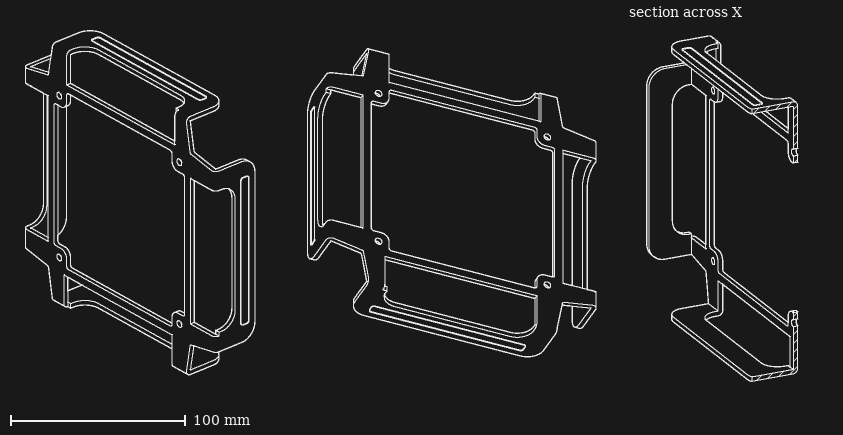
import cadquery as cq

outer_size = 168.0
depth = 30.0
sheet = 3.0
half_outer = outer_size / 2
bend_line = half_outer - sheet

frame_outer_half = 62.3
frame_inner_half = 57.1
notch_half = 62.2
notch_fillet = 1.0

pad_inner_half = 46.0
pad_radius = 5.0
pad_root_fillet = 1.5
hole_pitch_half = 52.5
hole_diameter = 4.0

handle_half = 58.8
handle_corner_radius = 10.0
handle_band = 15.0
opening_half = pad_inner_half
opening_radius = 10.0
wide_arm_inner = pad_inner_half
narrow_arm_inner = 48.5

groove_half_length = 47.9
groove_width = 5.9
groove_corner_radius = 1.5
groove_depth = 0.5

quarter_turns = (0, 90, 180, 270)


def box_between(x_range, y_range, z_range):
    """Return the box that spans the given ranges."""
    (x0, x1), (y0, y1), (z0, z1) = x_range, y_range, z_range
    return cq.Workplane("XY").box(x1 - x0, y1 - y0, z1 - z0, centered=False).translate((x0, y0, z0))


def around_square(half):
    """Return a plane at the front face with points at the corners of a square."""
    return cq.Workplane("XZ").rect(2 * half, 2 * half, forConstruction=True).vertices()


def edges_within(half):
    """Select edges lying inside a centered square, at any depth."""
    return cq.selectors.BoxSelector((-half, -depth, -half), (half, depth, half))


def make_window():
    """Square opening of the frame, less the four rounded corner pads."""
    pad_size = frame_inner_half - pad_inner_half
    pad_center = (frame_inner_half + pad_inner_half) / 2
    pads = around_square(pad_center).rect(pad_size, pad_size).extrude(-sheet)
    window = cq.Workplane("XZ").rect(2 * frame_inner_half, 2 * frame_inner_half).extrude(-sheet)
    window = window.cut(pads)
    window = window.edges("|Y").edges(edges_within(pad_center)).fillet(pad_radius)
    return window.edges("|Y").edges("<X or >X or <Z or >Z").fillet(pad_root_fillet)


def make_plate():
    """Flat plate with tapered arms, a central window and screw holes."""
    outline = []
    for sx, sz in ((-1, 1), (1, 1), (1, -1), (-1, -1)):
        corner = [
            (sx * handle_half, sz * half_outer),
            (sx * handle_half, sz * bend_line),
            (sx * notch_half, sz * notch_half),
            (sx * bend_line, sz * handle_half),
            (sx * half_outer, sz * handle_half),
        ]
        outline += corner if sx == sz else corner[::-1]
    plate = cq.Workplane("XZ").polyline(outline).close().extrude(-sheet)

    notch_zone = edges_within((notch_half + half_outer) / 2)
    plate = plate.edges("|Y").edges(notch_zone).fillet(notch_fillet)

    holes = around_square(hole_pitch_half).circle(hole_diameter / 2).extrude(-sheet)
    return plate.cut(make_window()).cut(holes)


def make_handle():
    """Top flange with rounded far corners, an arched opening and a groove."""
    handle = box_between((-handle_half, handle_half), (0, depth), (bend_line, half_outer))
    handle = handle.edges("|Z and >Y").fillet(handle_corner_radius)

    opening = box_between(
        (-opening_half, opening_half), (0, depth - handle_band), (bend_line, half_outer)
    )
    opening = opening.edges("|Z and >Y").fillet(opening_radius)

    groove_center = depth - handle_band / 2
    groove = box_between(
        (-groove_half_length, groove_half_length),
        (groove_center - groove_width / 2, groove_center + groove_width / 2),
        (half_outer - groove_depth, half_outer),
    )
    groove = groove.edges("|Z").fillet(groove_corner_radius)
    return handle.cut(opening).cut(groove)


def make_arm_gap():
    """Gap between the frame bar and the top bend, reaching further towards +X."""
    return box_between(
        (-wide_arm_inner, narrow_arm_inner), (0, sheet), (frame_outer_half, half_outer)
    )


def make_bend_waste():
    """Material outside the rounded outer corner of the top bend."""
    corner = box_between((-handle_half, handle_half), (0, sheet), (bend_line, half_outer))
    bend = (
        cq.Workplane("YZ", origin=(-handle_half, 0, 0))
        .center(sheet, bend_line)
        .circle(sheet)
        .extrude(2 * handle_half)
    )
    return corner.cut(bend)


handle = make_handle()
waste = make_arm_gap().union(make_bend_waste())
result = make_plate()
for angle in quarter_turns:
    result = result.union(handle.rotate((0, 0, 0), (0, 1, 0), angle))
for angle in quarter_turns:
    result = result.cut(waste.rotate((0, 0, 0), (0, 1, 0), angle))